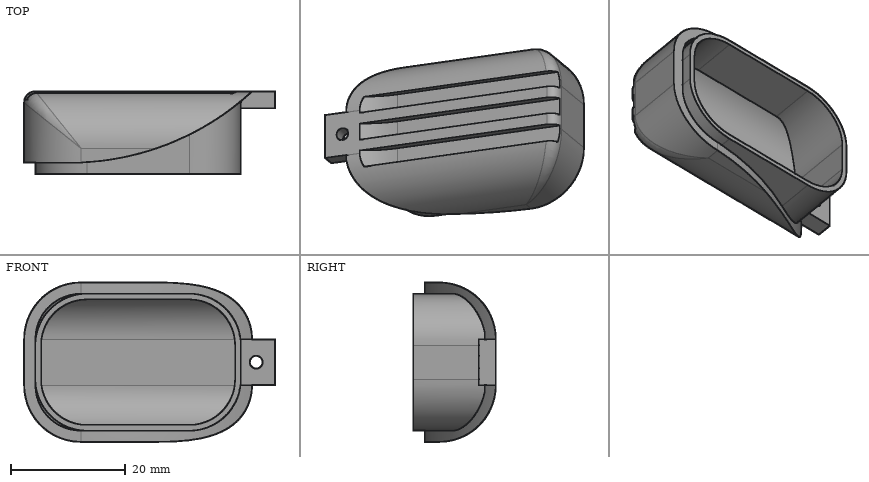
import cadquery as cq
import math

TOTAL_LENGTH = 44.0

SHELL_LENGTH = 40.0
SHELL_HEIGHT = 28.0
SHELL_DEPTH = 12.5
SHELL_RADIUS = 10.0
BACK_EDGE_RADIUS = 2.0
SWEEP_RADIUS = 47.1

LEDGE = 2.0
RIM_PROJECTION = 2.02
CUP_DEPTH = SHELL_DEPTH + RIM_PROJECTION
CUP_CORNER_RADIUS = 9.0

WALL = 3.0
CAVITY_CORNER_RADIUS = 8.0
BACK_WALL = BACK_EDGE_RADIUS

SEAT_CORNER_RADIUS = SHELL_RADIUS - LEDGE
SEAT_DEPTH = RIM_PROJECTION

TAB_HEIGHT = 8.0
TAB_THICKNESS = 3.0
HOLE_DIAMETER = 2.2
HOLE_X = 40.7

GROOVE_COUNT = 3
GROOVE_WIDTH = 3.0
GROOVE_PITCH = 5.0
GROOVE_DEPTH = GROOVE_WIDTH / 2
RUNOUT_RADIUS = 15.0
GROOVE_END_X = 37.4


def block(x_start, x_end, y_front, y_back, height):
    """Box between two X and two Y positions, centred on Z = 0."""
    return cq.Workplane("XY").box(
        x_end - x_start, y_back - y_front, height, centered=(False, False, True)
    ).translate((x_start, y_front, 0))


def round_back(body, radius):
    """Round the two long back edges that run along X."""
    return body.edges("|X and >Y").fillet(radius)


def rounded_prism(inset, back_inset, corner_radius):
    """Prism along Y, set in from the shell outline, with four rounded corners."""
    prism = block(inset, SHELL_LENGTH - inset, -CUP_DEPTH, -back_inset, SHELL_HEIGHT - 2 * inset)
    return prism.edges("|Y").fillet(corner_radius)


def rounded_back_envelope(inset):
    """Full-depth block with rounded back edges, set in evenly from the shell."""
    envelope = block(inset, SHELL_LENGTH - inset, -CUP_DEPTH, -inset, SHELL_HEIGHT - 2 * inset)
    return round_back(envelope, SHELL_RADIUS - inset)


def swept_cut():
    """Cylinder sector that trims the shell from its ledge to the back of its far end."""
    run = SHELL_LENGTH - SHELL_RADIUS
    half_chord = math.hypot(run, SHELL_DEPTH) / 2
    chord_angle = math.atan2(SHELL_DEPTH, run)
    center_offset = math.sqrt(SWEEP_RADIUS**2 - half_chord**2)
    center_x = SHELL_RADIUS + run / 2 - center_offset * math.sin(chord_angle)
    center_y = -SHELL_DEPTH / 2 + center_offset * math.cos(chord_angle)
    kept = (
        cq.Workplane("XY")
        .center(center_x, center_y)
        .circle(SWEEP_RADIUS)
        .extrude(SHELL_HEIGHT, both=True)
    )
    return block(SHELL_RADIUS, TOTAL_LENGTH, -SHELL_DEPTH, 0, SHELL_HEIGHT).cut(kept)


def outer_shell():
    blank = block(0, SHELL_LENGTH, -SHELL_DEPTH, 0, SHELL_HEIGHT)
    corners = block(0, SHELL_LENGTH, -SHELL_DEPTH, 0, SHELL_HEIGHT)
    corners = corners.edges("|Y and <X").fillet(SHELL_RADIUS)
    shell = round_back(blank, SHELL_RADIUS).intersect(corners)
    shell = shell.faces("<X").edges(">Y").fillet(BACK_EDGE_RADIUS)
    return shell.cut(swept_cut())


def corner_seat():
    height = SHELL_HEIGHT - 2 * LEDGE
    seat = block(LEDGE, SHELL_LENGTH / 2, -SHELL_DEPTH, SEAT_DEPTH - SHELL_DEPTH, height)
    return seat.edges("|Y and <X").fillet(SEAT_CORNER_RADIUS)


def tab_block():
    return block(SHELL_LENGTH - LEDGE, TOTAL_LENGTH, -TAB_THICKNESS, 0, TAB_HEIGHT)


def tab_hole():
    return cq.Workplane("XZ").center(HOLE_X, 0).circle(HOLE_DIAMETER / 2).extrude(CUP_DEPTH)


def grip_grooves():
    """Grooves open at the rounded end, whose flat floors curve up to the back at the other."""
    runout_angle = math.acos(1 - GROOVE_DEPTH / RUNOUT_RADIUS)
    floor_end_x = GROOVE_END_X - RUNOUT_RADIUS * math.sin(runout_angle)
    runout_middle = (
        floor_end_x + RUNOUT_RADIUS * math.sin(runout_angle / 2),
        RUNOUT_RADIUS * (1 - math.cos(runout_angle / 2)) - GROOVE_DEPTH,
    )
    profile = (
        cq.Workplane("XY")
        .moveTo(0, 0)
        .lineTo(0, -GROOVE_DEPTH)
        .lineTo(floor_end_x, -GROOVE_DEPTH)
        .threePointArc(runout_middle, (GROOVE_END_X, 0))
        .close()
    )
    groove = profile.extrude(GROOVE_WIDTH / 2, both=True)
    grooves = cq.Workplane("XY")
    for index in range(GROOVE_COUNT):
        z = (index - (GROOVE_COUNT - 1) / 2) * GROOVE_PITCH
        grooves = grooves.add(groove.translate((0, 0, z)))
    return grooves.combine()


cup = rounded_prism(LEDGE, BACK_EDGE_RADIUS, CUP_CORNER_RADIUS).intersect(rounded_back_envelope(0))
cavity = rounded_prism(WALL, BACK_WALL, CAVITY_CORNER_RADIUS).intersect(rounded_back_envelope(BACK_WALL))
result = outer_shell().cut(corner_seat()).union(cup).union(tab_block())
result = result.cut(cavity).cut(grip_grooves()).cut(tab_hole())